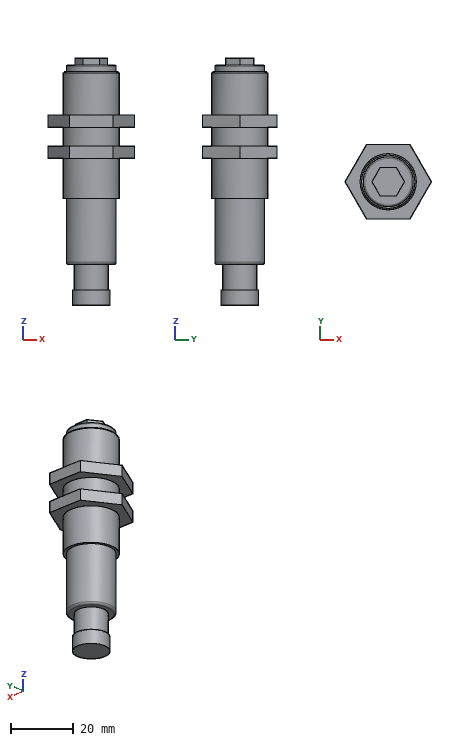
import cadquery as cq
import math

collar_diameter = 12.05
neck_diameter = 11.0
sleeve_diameter = 16.0
barrel_diameter = 18.0
cap_diameter = sleeve_diameter

collar_top = 5.0
neck_top = 13.1
sleeve_top = 34.25
barrel_top = 74.9
cap_top = 77.0
total_height = 79.3

sleeve_fillet = 0.8
barrel_chamfer = 0.5
cap_fillet = 0.5

nut_across_flats = 24.0
nut_thickness = 4
lower_nut_bottom = 47.1
nut_pitch = 10.0
head_across_flats = 9.05


def cylinder(diameter, bottom, top):
    """Round section on the Z axis between two heights."""
    return cq.Workplane("XY").workplane(offset=bottom).circle(diameter / 2).extrude(top - bottom)


def hexagon(across_flats, bottom, top):
    """Hexagonal prism on the Z axis between two heights."""
    across_corners = across_flats / math.cos(math.pi / 6)
    return cq.Workplane("XY").workplane(offset=bottom).polygon(6, across_corners).extrude(top - bottom)


collar = cylinder(collar_diameter, 0, collar_top)
neck = cylinder(neck_diameter, collar_top, neck_top)

sleeve = cylinder(sleeve_diameter, neck_top, sleeve_top).faces("<Z").edges().fillet(sleeve_fillet)
barrel = cylinder(barrel_diameter, sleeve_top, barrel_top).faces(">Z").edges().chamfer(barrel_chamfer)
cap = cylinder(cap_diameter, barrel_top, cap_top).faces(">Z").edges().fillet(cap_fillet)
head = hexagon(head_across_flats, cap_top, total_height)

result = collar.union(neck).union(sleeve).union(barrel).union(cap).union(head)

for nut_index in range(2):
    nut_bottom = lower_nut_bottom + nut_index * nut_pitch
    result = result.union(hexagon(nut_across_flats, nut_bottom, nut_bottom + nut_thickness))